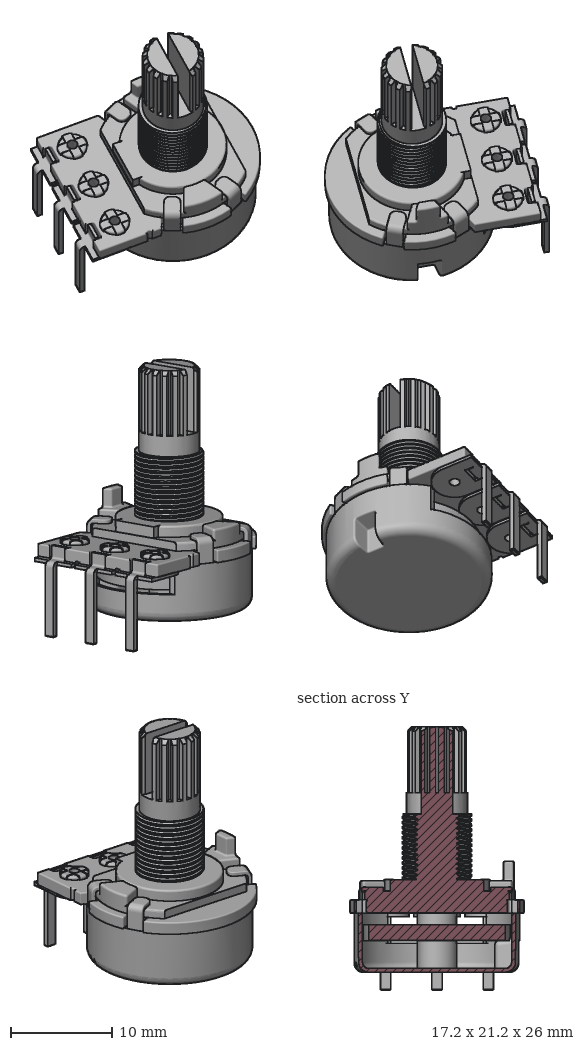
import cadquery as cq
import math


can_top = 5.85
board_thickness = 1.3
board_top = can_top + board_thickness
plate_top = board_top + 0.88
disc_top = plate_top + 1.15
bushing_top = disc_top + 6.47
knurl_bottom = bushing_top + 2.08
shaft_top = knurl_bottom + 6.53
pin_bottom = shaft_top - 26

sheet = 0.42
can_radius = 8.2
can_bottom_fillet = 1.0
window_face_y = -6.05
window_bottom = 2.89
dimple_top = 3.12
dimple_half_width = 1.2
dimple_depth = 2.08
dimple_taper = 8
dimple_floor_round = 0.2
dimple_mouth_round = 0.18

rotor_radius = 7.25
rotor_bottom = 3.15
rotor_thickness = 1.55
hub_radius = 1.95

leg_angle = 25
leg_width = 1.66
leg_reach = 2.35
leg_bend_radius = 0.7
leg_tip_round = 0.65
leg_edge_fillet = 0.1

board_radius = 8.6
board_half_width = 7.57
board_front_y = -11.35
board_round = 0.15
leg_slot_width = 2.08
leg_slot_inner = 7.4
side_notch_y = -5.93
side_notch_radius = 0.25

plate_radius = 7.62
plate_half_depth = 5.5
disc_radius = 5.3
plate_fillet = 0.23
tongue_half_width = 2.4
tongue_front_y = -5.43
ear_top = disc_top - 0.13
ear_inner_x = 4.15
ear_leg_offset = 1.12
key_top = 10.97
key_inner_x = 6.55
key_leg_offset = 2.0
key_fillet = 0.2
key_root_fillet = 0.2

thread_radius = 3.4
thread_pitch = 0.5
thread_depth = 0.195
thread_groove_width = 0.35
thread_start = disc_top - 0.13
thread_turns = 13.8

shaft_radius = 3.02
shaft_chamfer = 0.47
groove_count = 18
groove_floor_radius = 2.52
groove_floor_width = 0.2
groove_mouth_width = 0.6
slot_width = 1.25

terminal_pitch = 5.07
terminal_y = -8.6
terminal_thickness = 0.36
terminal_radius = 2.31
terminal_front_y = -12.05
terminal_bottom = can_top - terminal_thickness
pin_width = 1.05
pin_thickness = 0.52
pin_face_y = -12.64
pin_bend_radius = 0.57
pin_tip_chamfer = 0.1
hook_width = 1.8
hook_bend_radius = 0.23
hook_notch_width = 1.92
hook_notch_depth = 0.94
hook_notch_round = 0.2
gap_groove_length = 1.05
gap_groove_depth = 0.15

rivet_height = 0.4
rivet_arm_reach = 1.5
rivet_arm_width = 1.0
rivet_fillet = 0.23
rivet_petal_radius = 1.43
rivet_petal_height = 0.35
rivet_hole_radius = 0.52

LEG_ANGLES = (leg_angle, 180 - leg_angle, 180 + leg_angle, -leg_angle)
TERMINAL_XS = (-terminal_pitch, 0, terminal_pitch)


def cylinder(radius, bottom, top):
    """Upright cylinder on the shaft axis."""
    return cq.Workplane("XY").workplane(offset=bottom).circle(radius).extrude(top - bottom)


def block(x_range, y_range, z_range):
    """Box given by its limits along each axis."""
    sizes = [high - low for low, high in (x_range, y_range, z_range)]
    corner = (x_range[0], y_range[0], z_range[0])
    return cq.Workplane("XY").box(*sizes, centered=False).translate(corner)


def turn(shape, angle):
    """Turn a shape about the shaft axis."""
    return shape.rotate((0, 0, 0), (0, 0, 1), angle)


def dimple_block(margin):
    """Tapered block reaching inward from the -X side of the can, widened by margin."""
    top = dimple_top + margin
    block_above_and_below = (
        cq.Workplane("YZ", origin=(-can_radius, 0, 0))
        .rect(2 * (dimple_half_width + margin), 2 * top)
        .extrude(dimple_depth + margin, taper=dimple_taper)
    )
    rounded = block_above_and_below.edges("not(|Y or |Z)").fillet(dimple_floor_round + margin)
    rounded = rounded.faces(">X").edges().fillet(dimple_floor_round + margin)
    return rounded.intersect(cylinder(can_radius, 0, top))


def make_can():
    """Sheet cup with a window towards the terminals and a stop pressed into its -X side."""
    body = cylinder(can_radius, 0, can_top).faces("<Z").edges().fillet(can_bottom_fillet)
    cavity = cylinder(can_radius - sheet, sheet, can_top)
    cavity = cavity.faces("<Z").edges().fillet(can_bottom_fillet - sheet)
    cavity = cavity.cut(dimple_block(sheet))
    window = block((-can_radius, can_radius), (-can_radius, window_face_y), (window_bottom, can_top))
    can = turn(body, 90).cut(dimple_block(0))
    mouth = cq.selectors.BoxSelector(
        (-can_radius - 0.25, -dimple_half_width - 0.25, can_bottom_fillet),
        (-can_radius + 0.25, dimple_half_width + 0.25, dimple_top + 0.25),
    )
    can = can.edges(mouth).fillet(dimple_mouth_round)
    return can.cut(cavity).cut(window)


def make_rotor():
    disc = cylinder(rotor_radius, rotor_bottom, rotor_bottom + rotor_thickness)
    return disc.union(cylinder(hub_radius, 0.5 * sheet, can_top))


def make_leg():
    """One leg along +X, rising from the can wall and folded over the mounting plate."""
    fold_top = plate_top + sheet
    inner_bend = leg_bend_radius - sheet
    tip_x = can_radius - leg_reach
    leg = (
        cq.Workplane("XZ", origin=(0, 0.5 * leg_width, 0))
        .moveTo(can_radius, can_top)
        .lineTo(can_radius, fold_top - leg_bend_radius)
        .radiusArc((can_radius - leg_bend_radius, fold_top), -leg_bend_radius)
        .lineTo(tip_x, fold_top)
        .lineTo(tip_x, plate_top)
        .lineTo(can_radius - leg_bend_radius, plate_top)
        .radiusArc((can_radius - sheet, plate_top - inner_bend), inner_bend)
        .lineTo(can_radius - sheet, can_top)
        .close()
        .extrude(leg_width)
    )
    leg = leg.faces("<X").edges("|Z").fillet(leg_tip_round)
    return leg.faces(">Z").edges("|X").fillet(leg_edge_fillet)


def make_board():
    front_half = block((-board_half_width, board_half_width), (board_front_y, -3.9), (can_top, board_top))
    disc = turn(cylinder(board_radius, can_top, board_top), -90)
    board = disc.union(front_half)
    slot = block(
        (leg_slot_inner, 2 * board_radius),
        (-0.5 * leg_slot_width, 0.5 * leg_slot_width),
        (can_top, board_top),
    )
    for angle in LEG_ANGLES:
        board = board.cut(turn(slot, angle))
    board = board.edges("|Z").fillet(board_round)
    side_notch = cylinder(side_notch_radius, can_top, board_top)
    board = board.cut(side_notch.translate((board_half_width, side_notch_y, 0)))
    for x in TERMINAL_XS:
        notch = block(
            (x - 0.5 * hook_notch_width, x + 0.5 * hook_notch_width),
            (board_front_y, board_front_y + hook_notch_depth),
            (can_top, board_top),
        )
        board = board.cut(notch.faces(">Y").edges("|Z").fillet(hook_notch_round))
    board = board.faces(">Z").edges().fillet(board_round)
    board = board.faces("<Z").edges("%CIRCLE").edges(cq.selectors.RadiusNthSelector(-1)).fillet(board_round)
    gap = terminal_pitch - 2 * terminal_radius
    for x in (-0.5 * terminal_pitch, 0.5 * terminal_pitch):
        groove = block(
            (x - 0.5 * gap, x + 0.5 * gap),
            (board_front_y, board_front_y + gap_groove_length),
            (can_top, can_top + gap_groove_depth),
        )
        board = board.cut(groove)
    return board


def wedge(inner_x, leg_offset, bottom, top):
    """Sector on +X ending at the plate rim; its sides run parallel to the nearest leg axes."""

    def side_y(x):
        slope = math.radians(leg_angle)
        return (x * math.sin(slope) - leg_offset) / math.cos(slope)

    outer_x = 2 * plate_radius
    corners = [
        (inner_x, -side_y(inner_x)),
        (outer_x, -side_y(outer_x)),
        (outer_x, side_y(outer_x)),
        (inner_x, side_y(inner_x)),
    ]
    sector = cq.Workplane("XY").workplane(offset=bottom).polyline(corners).close().extrude(top - bottom)
    return sector.intersect(cylinder(plate_radius, bottom, top))


def make_mounting_plate():
    plate = cylinder(plate_radius, board_top, plate_top).intersect(
        block((-plate_radius, plate_radius), (-plate_half_depth, plate_half_depth), (board_top, plate_top))
    )
    plate = plate.faces(">Z").edges("%CIRCLE").fillet(plate_fillet)
    disc = cylinder(disc_radius, plate_top, disc_top).faces(">Z").edges().fillet(plate_fillet)
    tongue = block((-tongue_half_width, tongue_half_width), (tongue_front_y, 0), (plate_top, disc_top))
    return plate.union(disc).union(tongue)


def make_ears():
    """Raised sectors left and right of the disc; the -X one carries the upright locating key."""
    root = plate_top - plate_fillet
    ear = wedge(ear_inner_x, ear_leg_offset, root, ear_top)
    key = wedge(key_inner_x, key_leg_offset, root, key_top)
    key_ear = ear.union(key)
    key_root = cq.selectors.BoxSelector(
        (key_inner_x - 0.13, -1.55, ear_top - 0.03), (plate_radius - 0.08, 1.55, ear_top + 0.03)
    )
    key_ear = key_ear.edges(key_root).fillet(key_root_fillet)
    outer_edges = cq.selectors.BoxSelector((disc_radius - 0.13, -2.35, root + 0.25), (plate_radius, 2.35, key_top + 0.25))
    key_ear = key_ear.edges(outer_edges).fillet(key_fillet)
    ear = ear.edges(outer_edges).fillet(plate_fillet)
    return ear.union(turn(key_ear, 180))


def make_bushing():
    """Sleeve with a single right-hand helical thread."""
    sleeve = cylinder(thread_radius, disc_top, bushing_top)
    helix = cq.Wire.makeHelix(
        thread_pitch, thread_turns * thread_pitch, thread_radius, cq.Vector(0, 0, thread_start)
    )
    overshoot = 0.05
    half_mouth = 0.5 * thread_groove_width * (1 + overshoot / thread_depth)
    groove = (
        cq.Workplane("XZ", origin=(thread_radius, 0, thread_start))
        .polyline([(-thread_depth, 0), (overshoot, half_mouth), (overshoot, -half_mouth)])
        .close()
        .sweep(cq.Workplane(obj=helix), isFrenet=True)
    )
    return sleeve.cut(groove)


def make_shaft():
    shaft = cylinder(shaft_radius, disc_top, shaft_top).faces(">Z").edges().chamfer(shaft_chamfer)
    mouth_slope = (groove_mouth_width - groove_floor_width) / (shaft_radius - groove_floor_radius)
    outer = shaft_radius + 0.25
    outer_width = groove_floor_width + mouth_slope * (outer - groove_floor_radius)
    groove = (
        cq.Workplane("XY")
        .workplane(offset=knurl_bottom)
        .polyline(
            [
                (groove_floor_radius, -0.5 * groove_floor_width),
                (outer, -0.5 * outer_width),
                (outer, 0.5 * outer_width),
                (groove_floor_radius, 0.5 * groove_floor_width),
            ]
        )
        .close()
        .extrude(shaft_top - knurl_bottom)
    )
    step = 360 / groove_count
    for index in range(groove_count):
        shaft = shaft.cut(turn(groove, (index + 0.5) * step))
    slot = block(
        (-shaft_radius, shaft_radius), (-0.5 * slot_width, 0.5 * slot_width), (knurl_bottom, shaft_top)
    )
    return shaft.cut(slot)


def make_terminal():
    """Middle terminal: round pad under the board, front bar, hook in the board notch and bent pin."""
    pad = cylinder(terminal_radius, terminal_bottom, can_top).translate((0, terminal_y, 0))
    bar = block(
        (-terminal_radius, terminal_radius), (terminal_front_y, terminal_y), (terminal_bottom, can_top)
    )
    opening = block(
        (-0.5 * hook_notch_width, 0.5 * hook_notch_width),
        (board_front_y, board_front_y + hook_notch_depth),
        (terminal_bottom, can_top),
    )
    hook_front_y = board_front_y + hook_bend_radius
    hook_back_y = hook_front_y + terminal_thickness
    hook = (
        cq.Workplane("YZ", origin=(-0.5 * hook_width, 0, 0))
        .moveTo(board_front_y, terminal_bottom)
        .lineTo(hook_back_y, terminal_bottom)
        .lineTo(hook_back_y, board_top)
        .lineTo(hook_front_y, board_top)
        .lineTo(hook_front_y, can_top + hook_bend_radius)
        .radiusArc((board_front_y, can_top), hook_bend_radius)
        .close()
        .extrude(hook_width)
    )
    pin_back_y = pin_face_y + pin_thickness
    pin = (
        cq.Workplane("YZ", origin=(-0.5 * pin_width, 0, 0))
        .moveTo(board_front_y, can_top)
        .lineTo(pin_face_y + pin_bend_radius, can_top)
        .radiusArc((pin_face_y, can_top - pin_bend_radius), -pin_bend_radius)
        .lineTo(pin_face_y, pin_bottom)
        .lineTo(pin_back_y, pin_bottom)
        .lineTo(pin_back_y, terminal_bottom)
        .lineTo(board_front_y, terminal_bottom)
        .close()
        .extrude(pin_width)
    )
    pin = pin.faces("<Z").edges().chamfer(pin_tip_chamfer)
    return pad.union(bar).cut(opening).union(hook).union(pin)


def make_rivet():
    """Flared rivet head: a raised cross over four lower petals, on the middle terminal."""
    head_top = board_top + rivet_height
    petals = cylinder(rivet_petal_radius, board_top, board_top + rivet_petal_height)
    petals = petals.faces(">Z").edges().fillet(rivet_fillet)
    arm = block(
        (-rivet_arm_reach, rivet_arm_reach),
        (-0.5 * rivet_arm_width, 0.5 * rivet_arm_width),
        (board_top, head_top),
    )
    head = cylinder(rivet_arm_reach, board_top, head_top).faces(">Z").edges().fillet(rivet_fillet)
    cross = head.intersect(arm.union(turn(arm, 90)))
    return petals.union(cross).translate((0, terminal_y, 0))


result = make_can().union(make_rotor()).union(make_board())
leg = make_leg()
for angle in LEG_ANGLES:
    result = result.union(turn(leg, angle))
result = result.union(make_mounting_plate()).union(make_ears())

terminal = make_terminal()
rivet = make_rivet()
rivet_hole = cylinder(rivet_hole_radius, terminal_bottom, board_top + rivet_height).translate((0, terminal_y, 0))
for x in TERMINAL_XS:
    offset = (x, 0, 0)
    result = result.union(terminal.translate(offset)).union(rivet.translate(offset))
    result = result.cut(rivet_hole.translate(offset))

result = result.union(make_shaft().union(make_bushing()))